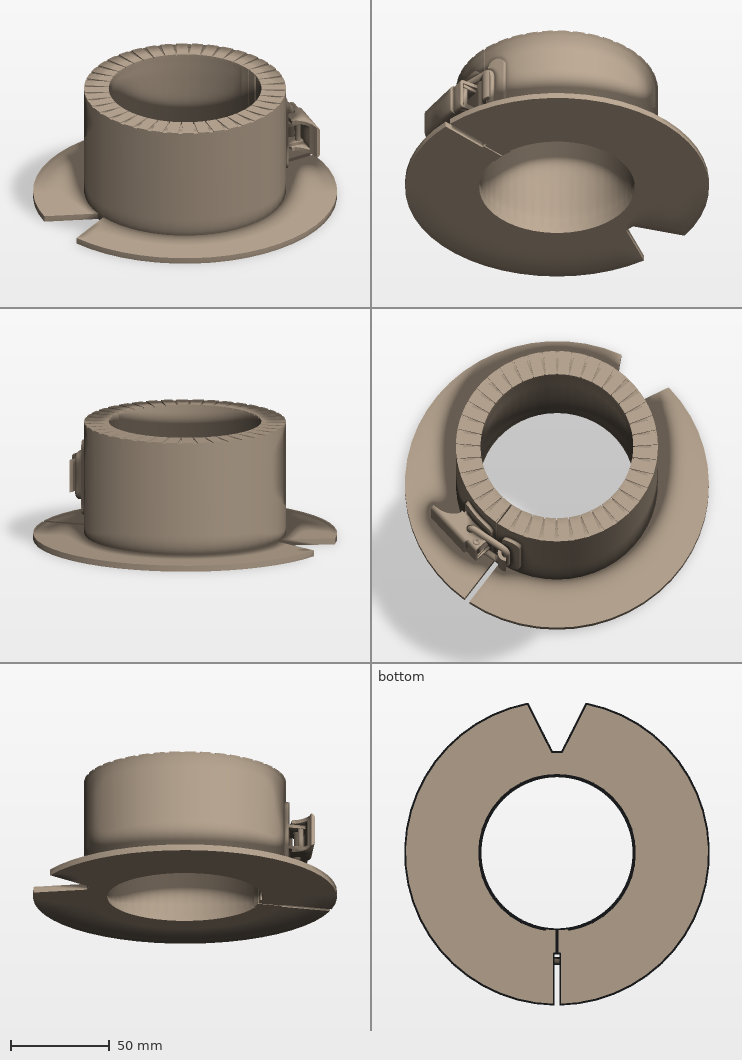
import cadquery as cq
import math

HEIGHT = 60.8
FLANGE_RADIUS = 76.8
FLANGE_THICKNESS = 3.0
SLEEVE_RADIUS = 51.0
BORE_RADIUS = 38.5
WALL_BORE_RADIUS = 39.3
LIP_THICKNESS = 0.8
PARTING_GAP = 3.0
SLIT_WIDTH = 0.6
WEDGE_APEX_RADIUS = 46.0
WEDGE_HALF_ANGLE = 26.8

TOOTH_COUNT = 40
TOOTH_PITCH = 360 / TOOTH_COUNT
SLOT_INNER_WIDTH = 0.7069
SLOT_OUTER_WIDTH = 3.534
SLOT_RIM_DEPTH = 0.5
STEP_DROP = 0.08
FIRST_STEP_RADIUS = 40.4
LAYER_THICKNESS = 2.5
STEP_COUNT = 5

LATCH_Z = 29.8
PLATE_RADIUS = 52.8
PLATE_HEIGHT = 38.4
PLATE_CORNER = 4.6
CATCH_X = (-13.8, -4.1)
BRACKET_X = (2.3, 22.4)

HOOK_CENTER = (-8.5, 54.5)
HOOK_OUTER_RADIUS = 4.5
HOOK_INNER_RADIUS = 2.6
HOOK_HEIGHT = 16.3
HOOK_TIP_ANGLE = 123.0
HOOK_ROOT_ANGLE = -45.0

LOOP_FAR_AXIS = (13.8, 55.0)
WIRE_DIAMETER = 3.4
LOOP_BEND_RADIUS = 3.4
LOOP_HEIGHT = 25.0
LOOP_HOLE_DIAMETER = 4.1

LEVER_WIDTH = 16.9
LEVER_WALL = 1.8
HANDLE_FILLET = 2.3
BACK_FILLET = 1.5
LEVER_HEEL = [(4.9, 63.0), (2.9, 53.1), (23.0, 49.6), (23.0, 51.3)]
FINGER_CURVE = [(27.3, 54.6), (34.2, 55.9)]
HANDLE = [(36.4, 55.9), (36.4, 57.7), (12.3, 63.0), (11.7, 61.4)]
LEVER_CAVITY = [(1.5, 62.0), (30.0, 56.3), (30.0, 46.0), (1.5, 46.0)]
LUG_OUTLINE = [(4.9, 60.6), (4.0, 46.0), (21.8, 46.0), (21.8, 57.1)]
LUG_THICKNESS = 1.7
LUG_CLEARANCE = 0.2

PIVOT_AXIS = (20.1, 55.0)
PIVOT_DIAMETER = 2.8
RIVET_AXIS = (7.2, 58.6)
RIVET_DIAMETER = 4.0
RIVET_PROTRUSION = 0.5
RIVET_CHAMFER = 0.5
DIMPLE_DIAMETER = 2.8
DIMPLE_DEPTH = 0.8


def disc(radius, height, base=0.0):
    return cq.Workplane("XY").workplane(offset=base).circle(radius).extrude(height)


def prism(points, height):
    """Polygon extruded along Z, centred on the latch."""
    return cq.Workplane("XY").workplane(offset=LATCH_Z - height / 2).polyline(points).close().extrude(height)


def rod(axis, diameter, length):
    """Cylinder along Z, centred on the latch."""
    return cq.Workplane("XY", origin=(*axis, LATCH_Z - length / 2)).circle(diameter / 2).extrude(length)


def parting_cut(width, radius, height):
    """Straight cut from the axis out past a radius on the +Y side."""
    return cq.Workplane("XY").rect(width, radius + 1.5, centered=(True, False)).extrude(height)


def flange():
    plate = disc(FLANGE_RADIUS, FLANGE_THICKNESS)
    gap = parting_cut(PARTING_GAP, FLANGE_RADIUS, FLANGE_THICKNESS)
    wedge_half_width = (FLANGE_RADIUS - WEDGE_APEX_RADIUS) * math.tan(math.radians(WEDGE_HALF_ANGLE))
    wedge = (
        cq.Workplane("XY")
        .polyline([
            (0, -WEDGE_APEX_RADIUS),
            (wedge_half_width, -FLANGE_RADIUS),
            (-wedge_half_width, -FLANGE_RADIUS),
        ])
        .close()
        .extrude(FLANGE_THICKNESS)
    )
    return plate.cut(gap).cut(wedge)


def slot_cutter():
    """Tapered radial slots whose floor steps down towards the bore, one step per layer."""
    inner = BORE_RADIUS - 1.5
    outer = SLEEVE_RADIUS + 1.5
    taper = (SLOT_OUTER_WIDTH - SLOT_INNER_WIDTH) / (SLEEVE_RADIUS - BORE_RADIUS) / 2
    inner_half = SLOT_INNER_WIDTH / 3 - taper
    outer_half = SLOT_OUTER_WIDTH / 3 + taper
    deepest = SLOT_RIM_DEPTH + STEP_COUNT * STEP_DROP

    floor = [(inner, HEIGHT + 1.5), (inner, HEIGHT - deepest)]
    for step in range(STEP_COUNT):
        radius = FIRST_STEP_RADIUS + step * LAYER_THICKNESS
        depth = deepest - step * STEP_DROP
        floor += [(radius, HEIGHT - depth), (radius, HEIGHT - depth + STEP_DROP)]
    floor += [(outer, HEIGHT - SLOT_RIM_DEPTH), (outer, HEIGHT + 1.5)]
    stepped_ring = cq.Workplane("XZ").polyline(floor).close().revolve(360, (0, 0, 0), (0, 1, 0))

    slot = (
        cq.Workplane("XY")
        .workplane(offset=HEIGHT - deepest)
        .polyline([(inner, -inner_half), (outer, -outer_half), (outer, outer_half), (inner, inner_half)])
        .close()
        .extrude(deepest + 1.5)
    )
    slots = [slot.rotate((0, 0, 0), (0, 0, 1), i * TOOTH_PITCH).val() for i in range(TOOTH_COUNT)]
    return stepped_ring.intersect(cq.Workplane(cq.Compound.makeCompound(slots)))


def bore_relief():
    """Widens the bore below the lip, except for a pad one tooth wide on each side of the slit."""
    depth = HEIGHT - LIP_THICKNESS
    relief = disc(WALL_BORE_RADIUS, depth)
    pad_half_width = 2 * WALL_BORE_RADIUS * math.tan(math.radians(TOOTH_PITCH))
    pad = (
        cq.Workplane("XY")
        .polyline([(0, 0), (pad_half_width, 2 * WALL_BORE_RADIUS), (-pad_half_width, 2 * WALL_BORE_RADIUS)])
        .close()
        .extrude(depth)
    )
    return relief.cut(pad)


def make_jacket():
    slit = parting_cut(SLIT_WIDTH, SLEEVE_RADIUS, HEIGHT)
    return (
        flange()
        .union(disc(SLEEVE_RADIUS, HEIGHT))
        .cut(disc(BORE_RADIUS, HEIGHT))
        .cut(bore_relief())
        .cut(slot_cutter())
        .cut(slit)
    )


def sleeve_plate(x_range):
    """Rounded plate curved to lie on the sleeve between two X positions."""
    x_start, x_end = x_range
    outline = (
        cq.Workplane("XY")
        .box(x_end - x_start, SLEEVE_RADIUS + PLATE_RADIUS, PLATE_HEIGHT, centered=(False, False, True))
        .edges("|Y")
        .fillet(PLATE_CORNER)
        .translate((x_start, 0, LATCH_Z))
    )
    base = LATCH_Z - PLATE_HEIGHT / 2
    shell = disc(PLATE_RADIUS, PLATE_HEIGHT, base).cut(disc(SLEEVE_RADIUS, PLATE_HEIGHT, base))
    return shell.intersect(outline)


def hook_point(radius, angle):
    radians = math.radians(angle)
    return (HOOK_CENTER[0] + radius * math.cos(radians), HOOK_CENTER[1] + radius * math.sin(radians))


def make_catch():
    middle = (HOOK_TIP_ANGLE + HOOK_ROOT_ANGLE) / 2
    hook = (
        cq.Workplane("XY")
        .workplane(offset=LATCH_Z - HOOK_HEIGHT / 2)
        .moveTo(*hook_point(HOOK_OUTER_RADIUS, HOOK_TIP_ANGLE))
        .threePointArc(hook_point(HOOK_OUTER_RADIUS, middle), hook_point(HOOK_OUTER_RADIUS, HOOK_ROOT_ANGLE))
        .lineTo(*hook_point(HOOK_INNER_RADIUS, HOOK_ROOT_ANGLE))
        .threePointArc(hook_point(HOOK_INNER_RADIUS, middle), hook_point(HOOK_INNER_RADIUS, HOOK_TIP_ANGLE))
        .close()
        .extrude(HOOK_HEIGHT)
    )
    return sleeve_plate(CATCH_X).union(hook)


def make_loop():
    """Closed wire rectangle joining the hook to the lever."""
    span_x = LOOP_FAR_AXIS[0] - HOOK_CENTER[0]
    span_y = LOOP_FAR_AXIS[1] - HOOK_CENTER[1]
    length = math.hypot(span_x, span_y)
    half_height = (LOOP_HEIGHT - WIRE_DIAMETER) / 2
    bend = LOOP_BEND_RADIUS
    near_bend = bend * (1 - math.sqrt(0.5))
    far = length - near_bend
    side = half_height - near_bend
    plane = cq.Plane(origin=(*HOOK_CENTER, LATCH_Z), xDir=(span_x, span_y, 0), normal=(-span_y, span_x, 0))
    path = (
        cq.Workplane(plane)
        .moveTo(length / 2, half_height)
        .lineTo(length - bend, half_height)
        .threePointArc((far, side), (length, half_height - bend))
        .lineTo(length, bend - half_height)
        .threePointArc((far, -side), (length - bend, -half_height))
        .lineTo(bend, -half_height)
        .threePointArc((near_bend, -side), (0, bend - half_height))
        .lineTo(0, half_height - bend)
        .threePointArc((near_bend, side), (bend, half_height))
        .close()
    )
    start = plane.toWorldCoords((length / 2, half_height))
    section = cq.Workplane(cq.Plane(origin=start, xDir=(0, 0, 1), normal=plane.xDir))
    return section.circle(WIRE_DIAMETER / 2).sweep(path)


def cut_axis_holes(body):
    """Holes for the two pins and the loop's right bar."""
    return (
        body
        .cut(rod(PIVOT_AXIS, PIVOT_DIAMETER, LEVER_WIDTH))
        .cut(rod(RIVET_AXIS, RIVET_DIAMETER, LEVER_WIDTH))
        .cut(rod(LOOP_FAR_AXIS, LOOP_HOLE_DIAMETER, LEVER_WIDTH))
    )


def make_bracket():
    """Curved base plate with two lugs standing inside the lever."""
    lug_span = LEVER_WIDTH - 2 * LEVER_WALL - 2 * LUG_CLEARANCE
    space_between = prism(LUG_OUTLINE, lug_span - 2 * LUG_THICKNESS)
    lugs = prism(LUG_OUTLINE, lug_span).cut(space_between).cut(disc(SLEEVE_RADIUS, HEIGHT))
    return cut_axis_holes(sleeve_plate(BRACKET_X).union(lugs))


def edges_along(start, end):
    """Selects the edges, at any height, whose middle lies halfway between two outline points."""
    reach = 0.3
    x = (start[0] + end[0]) / 2
    y = (start[1] + end[1]) / 2
    return cq.selectors.BoxSelector((x - reach, y - reach, 0), (x + reach, y + reach, HEIGHT))


def make_lever():
    """Channel, open towards the sleeve, that tapers into a handle."""
    body = (
        cq.Workplane("XY")
        .workplane(offset=LATCH_Z - LEVER_WIDTH / 2)
        .polyline(LEVER_HEEL)
        .threePointArc(*FINGER_CURVE)
        .polyline(HANDLE, includeCurrent=True)
        .close()
        .extrude(LEVER_WIDTH)
    )
    back_edges = edges_along(LEVER_HEEL[0], HANDLE[3])
    handle_edges = edges_along(HANDLE[1], HANDLE[2])
    body = body.edges(back_edges).fillet(BACK_FILLET).edges(handle_edges).fillet(HANDLE_FILLET)
    return cut_axis_holes(body.cut(prism(LEVER_CAVITY, LEVER_WIDTH - 2 * LEVER_WALL)))


def make_rivet():
    length = LEVER_WIDTH + 2 * RIVET_PROTRUSION
    rivet = rod(RIVET_AXIS, RIVET_DIAMETER, length).edges("%CIRCLE").chamfer(RIVET_CHAMFER)
    for side in (1, -1):
        end = cq.Vector(*RIVET_AXIS, LATCH_Z + side * length / 2)
        inward = cq.Vector(0, 0, -side)
        rivet = rivet.cut(cq.Workplane(cq.Solid.makeCone(DIMPLE_DIAMETER / 2, 0, DIMPLE_DEPTH, end, inward)))
    return rivet


jacket = make_jacket()
catch = make_catch()
loop = make_loop()
bracket = make_bracket()
lever = make_lever()
pivot_pin = rod(PIVOT_AXIS, PIVOT_DIAMETER, LEVER_WIDTH)
rivet = make_rivet()

result = cq.Compound.makeCompound([
    jacket.val(),
    catch.val(),
    loop.val(),
    bracket.val(),
    lever.val(),
    pivot_pin.val(),
    rivet.val(),
])